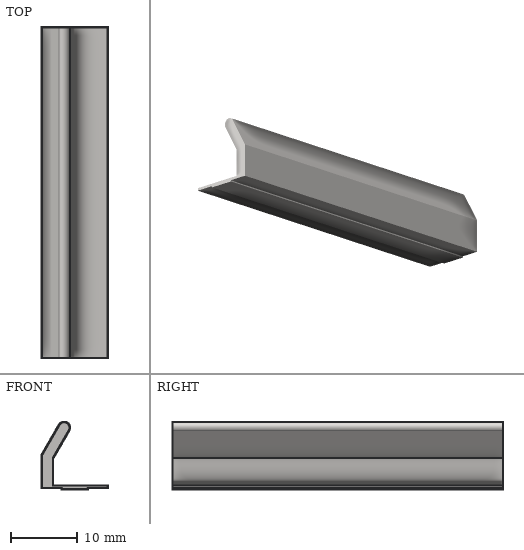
import cadquery as cq
import math

length = 50.0
base_width = 10.0
lip_height = 10.0

wall_thickness = 1.75
base_thickness = 0.4
bend_height = 5.0
lip_angle = math.radians(30)

strip_width = 4.0
strip_thickness = 0.2

along = (math.sin(lip_angle), math.cos(lip_angle))
across = (math.cos(lip_angle), -math.sin(lip_angle))

tip_radius = wall_thickness / 2
tip_center_z = lip_height - tip_radius
outer_tangent_z = tip_center_z - tip_radius * across[1]
outer_tangent_x = (outer_tangent_z - bend_height) * math.tan(lip_angle)
tip_center_x = outer_tangent_x + tip_radius * across[0]


def from_tip_center(direction, distance):
    """Point in the XZ section at a distance from the center of the rounded tip."""
    return (tip_center_x + distance * direction[0], tip_center_z + distance * direction[1])


inner_bend_height = bend_height - wall_thickness * math.tan(lip_angle / 2)

strip_start_x = (base_width - strip_width) / 2
strip_end_x = strip_start_x + strip_width

section = (
    cq.Workplane("XZ")
    .moveTo(0, 0)
    .lineTo(0, bend_height)
    .lineTo(outer_tangent_x, outer_tangent_z)
    .threePointArc(from_tip_center(along, tip_radius), from_tip_center(across, tip_radius))
    .lineTo(wall_thickness, inner_bend_height)
    .lineTo(wall_thickness, base_thickness)
    .lineTo(base_width, base_thickness)
    .lineTo(base_width, 0)
    .lineTo(strip_end_x, 0)
    .lineTo(strip_end_x, -strip_thickness)
    .lineTo(strip_start_x, -strip_thickness)
    .lineTo(strip_start_x, 0)
    .close()
)

result = section.extrude(length / 2, both=True)